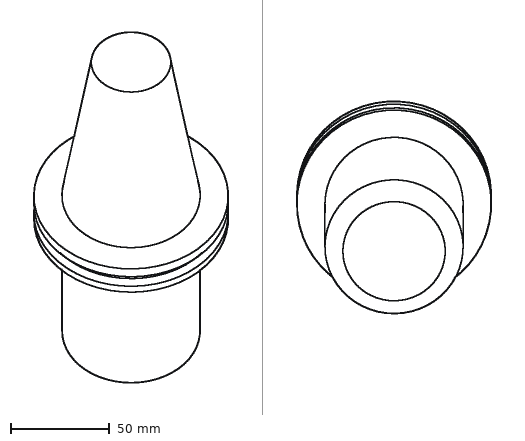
import cadquery as cq

total_length = 216.0

gauge_diameter = 70.0
taper_length = 101.7
taper_ratio = 7 / 24
collar_length = 1.0

flange_diameter = 98.5
flange_thickness = 18.0
groove_floor_diameter = 91.5
groove_top_depth = 6.0
groove_mouth_width = 7.3
groove_floor_width = 3.5

body_diameter = 70.0
nose_chamfer = 9.0

gauge_z = total_length - taper_length
flange_top_z = gauge_z - collar_length
flange_bottom_z = flange_top_z - flange_thickness
groove_top_z = flange_top_z - groove_top_depth
groove_bottom_z = groove_top_z - groove_mouth_width
groove_side_height = (groove_mouth_width - groove_floor_width) / 2

body_radius = body_diameter / 2
flange_radius = flange_diameter / 2
groove_floor_radius = groove_floor_diameter / 2
gauge_radius = gauge_diameter / 2
tip_radius = (gauge_diameter - taper_length * taper_ratio) / 2

half_section = [
    (0, 0),
    (body_radius - nose_chamfer, 0),
    (body_radius, nose_chamfer),
    (body_radius, flange_bottom_z),
    (flange_radius, flange_bottom_z),
    (flange_radius, groove_bottom_z),
    (groove_floor_radius, groove_bottom_z + groove_side_height),
    (groove_floor_radius, groove_top_z - groove_side_height),
    (flange_radius, groove_top_z),
    (flange_radius, flange_top_z),
    (gauge_radius, flange_top_z),
    (gauge_radius, gauge_z),
    (tip_radius, total_length),
    (0, total_length),
]

result = cq.Workplane("XZ").polyline(half_section).close().revolve(360, (0, 0, 0), (0, 1, 0))